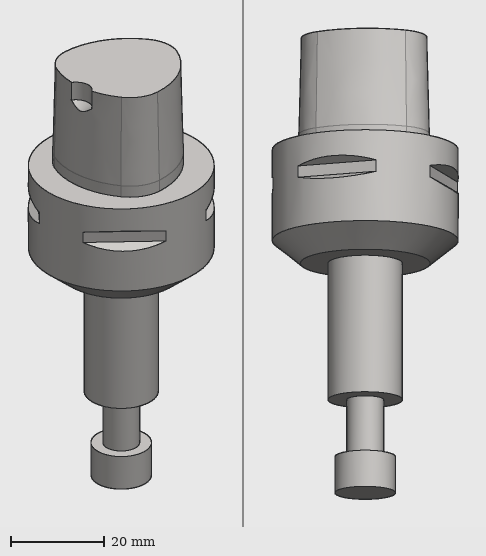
import cadquery as cq
import math

total_height = 99.5
head_diameter = 13.0
head_height = 8.0
neck_diameter = 8.0
neck_length = 12.5
shank_diameter = 16.0
shank_length = 30.0
flange_diameter = 40.0
flange_foot_diameter = 27.9
flange_height = 25.0
flange_bevel_height = 5.0

lobe_radius = 8.7
lobe_center_radius = 6.3
coupling_straight_height = 2.7
coupling_inset = 0.55

keyway_radius = 3.5
keyway_depth = 4.3
keyway_axis_y = -14.3
drill_half_angle = 53.0

groove_count = 4
groove_first_angle = 45.0
groove_floor_height = 2.5
groove_floor_distance = 17.9
groove_wall_angle = 30.0
groove_drop = 7.9
cut_margin = 2.0

flange_bottom = head_height + neck_length + shank_length
flange_top = flange_bottom + flange_height


def turned_body():
    """Retaining head, neck, shank and bevelled flange as one revolved profile."""
    neck_top = head_height + neck_length
    half_profile = [
        (0, 0),
        (head_diameter / 2, 0),
        (head_diameter / 2, head_height),
        (neck_diameter / 2, head_height),
        (neck_diameter / 2, neck_top),
        (shank_diameter / 2, neck_top),
        (shank_diameter / 2, flange_bottom),
        (flange_foot_diameter / 2, flange_bottom),
        (flange_diameter / 2, flange_bottom + flange_bevel_height),
        (flange_diameter / 2, flange_top),
        (0, flange_top),
    ]
    return cq.Workplane("XZ").polyline(half_profile).close().revolve(360, (0, 0), (0, 1))


def polar(radius, angle, center=(0, 0)):
    """Point at an angle in degrees around a center."""
    turn = math.radians(angle)
    return center[0] + radius * math.cos(turn), center[1] + radius * math.sin(turn)


def lobed_outline(workplane, inset):
    """Constant-width outline: three lobe arcs joined by three tangent flank arcs."""
    tip_radius = lobe_radius - inset
    flank_radius = tip_radius + lobe_center_radius * math.sqrt(3)
    flank_distance = flank_radius - lobe_center_radius
    start = polar(tip_radius, 60, polar(lobe_center_radius, 90))
    outline = workplane.moveTo(*start)
    for lobe_angle in (90, 210, 330):
        lobe_center = polar(lobe_center_radius, lobe_angle)
        lobe_tip = polar(tip_radius, lobe_angle, lobe_center)
        lobe_end = polar(tip_radius, lobe_angle + 30, lobe_center)
        flank_middle = polar(flank_distance, lobe_angle + 60)
        next_center = polar(lobe_center_radius, lobe_angle + 120)
        next_start = polar(tip_radius, lobe_angle + 90, next_center)
        outline = outline.threePointArc(lobe_tip, lobe_end).threePointArc(flank_middle, next_start)
    return outline.close()


def coupling():
    """Straight lobed foot with a slightly tapered lobed shaft above it."""
    base_plane = cq.Workplane("XY", origin=(0, 0, flange_top))
    foot = lobed_outline(base_plane, 0).extrude(coupling_straight_height)
    taper_bottom = flange_top + coupling_straight_height
    taper_height = total_height - taper_bottom
    lower = lobed_outline(cq.Workplane("XY", origin=(0, 0, taper_bottom)), 0)
    both = lobed_outline(lower.workplane(offset=taper_height), coupling_inset)
    return foot.union(both.loft(ruled=True))


def keyway_cutter():
    """Vertical drill shape with a conical point."""
    shoulder = total_height - keyway_depth
    point = shoulder - keyway_radius / math.tan(math.radians(drill_half_angle))
    half_profile = [
        (0, point),
        (keyway_radius, shoulder),
        (keyway_radius, total_height + cut_margin),
        (0, total_height + cut_margin),
    ]
    drill = cq.Workplane("XZ").polyline(half_profile).close().revolve(360, (0, 0), (0, 1))
    return drill.translate((0, keyway_axis_y, 0))


def groove_cutter(angle):
    """Straight trapezoidal groove that widens outward, turned about Z."""
    outer = flange_diameter / 2 + cut_margin
    half_floor = groove_floor_height / 2
    flare = (outer - groove_floor_distance) * math.tan(math.radians(groove_wall_angle))
    half_mouth = half_floor + flare
    section = [
        (groove_floor_distance, -half_floor),
        (outer, -half_mouth),
        (outer, half_mouth),
        (groove_floor_distance, half_floor),
    ]
    prism = cq.Workplane("XZ").polyline(section).close().extrude(flange_diameter / 2, both=True)
    return prism.translate((0, 0, flange_top - groove_drop)).rotate((0, 0, 0), (0, 0, 1), angle)


result = turned_body().union(coupling()).cut(keyway_cutter())
for index in range(groove_count):
    result = result.cut(groove_cutter(groove_first_angle + index * 360 / groove_count))